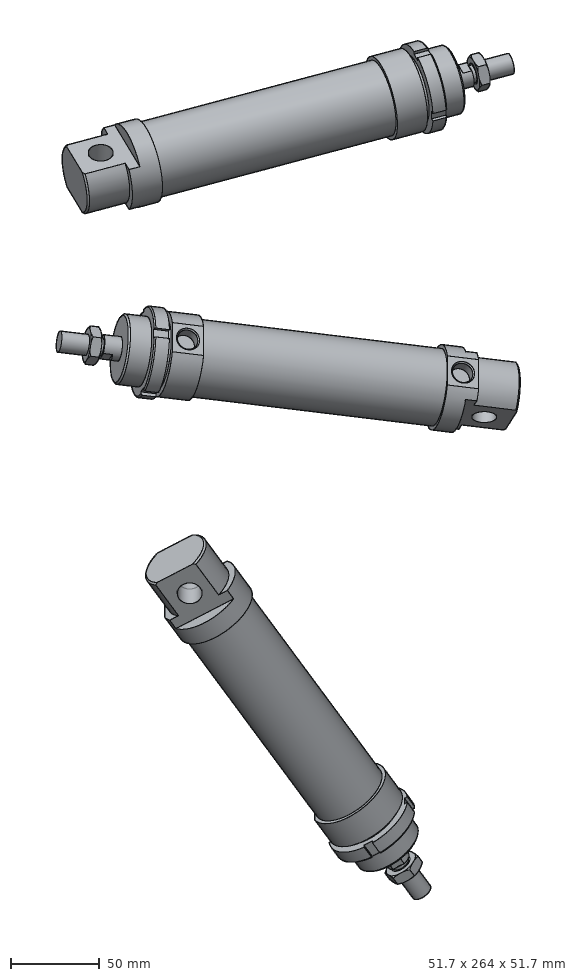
import cadquery as cq
import math

TOTAL_LENGTH = 264.0

BARREL_DIAMETER = 44.0
CAP_DIAMETER = 48.5
CAP_LENGTH = 18.2
REAR_CAP_START = 25.3
FRONT_CAP_END = 204.0
SPIGOT_DIAMETER = 40.0
SPIGOT_END = 229.0
END_CHAMFER = 1.0
LUG_THICKNESS = 30.0
LUG_FLATS_LENGTH = 32.0
PIVOT_HOLE_DIAMETER = 14.0
PIVOT_HOLE_Y = 15.8

PORT_FLAT_WIDTH = 18.2
PORT_DIAMETER = 12.0
PORT_CHAMFER = 0.8
PORT_DEPTH = 8.0

ROD_DIAMETER = 14.0
ROD_DEPTH_IN_HOUSING = 26.5
SHOULDER_Y = 239.2
THREAD_DIAMETER = 12.1
NECK_DIAMETER = 10.3
WRENCH_FLATS_WIDTH = 12.0
WRENCH_FLATS_LENGTH = 5.3
WRENCH_FLATS_RUNOUT = 0.5

ROD_NUT_ACROSS_FLATS = 19.0
ROD_NUT_REAR = 241.5
ROD_NUT_THICKNESS = 6.3
ROD_NUT_CHAMFER_WIDTH = 1.3
ROD_NUT_CHAMFER_ANGLE = 30.0

RING_NUT_DIAMETER = 52.0
RING_NUT_REAR = 206.7
RING_NUT_THICKNESS = 8.7
RING_NUT_CHAMFER = 0.8
RING_NUT_SLOTS = 4
SLOT_WIDTH = 5.5
SLOT_DEPTH = 2.0


def cylinder(diameter, start, end):
    """A solid cylinder on the Y axis from Y = start to Y = end."""
    return cq.Workplane("XZ", origin=(0, start, 0)).circle(diameter / 2).extrude(start - end)


def block(x_range, y_range, z_range):
    """An axis-aligned box given by its limits."""
    limits = (x_range, y_range, z_range)
    sizes = [high - low for low, high in limits]
    corner = tuple(low for low, high in limits)
    return cq.Workplane("XY", origin=corner).box(*sizes, centered=False)


def cap_with_port(start):
    """An end cap flattened on its -X side, and the cutter for the blind port centred in that flat."""
    radius = CAP_DIAMETER / 2
    flat_x = -math.sqrt(radius**2 - (PORT_FLAT_WIDTH / 2) ** 2)
    end = start + CAP_LENGTH
    cap = cylinder(CAP_DIAMETER, start, end)
    cap = cap.cut(block((-CAP_DIAMETER, flat_x), (start, end), (-radius, radius)))
    port_plane = cq.Workplane("YZ", origin=(flat_x, start + CAP_LENGTH / 2, 0))
    port = port_plane.circle(PORT_DIAMETER / 2).extrude(PORT_DEPTH)
    mouth_radius = PORT_DIAMETER / 2 + PORT_CHAMFER
    countersink = port_plane.circle(mouth_radius).extrude(PORT_CHAMFER, taper=45)
    return cap, port.union(countersink)


def make_housing():
    """Barrel, both caps, threaded spigot and rear pivot lug in one solid."""
    barrel = cylinder(BARREL_DIAMETER, REAR_CAP_START, FRONT_CAP_END)
    rear_cap, rear_port = cap_with_port(REAR_CAP_START)
    front_cap, front_port = cap_with_port(FRONT_CAP_END - CAP_LENGTH)
    core = cylinder(SPIGOT_DIAMETER, 0, SPIGOT_END).faces("<Y or >Y").edges().chamfer(END_CHAMFER)
    housing = barrel.union(rear_cap).union(front_cap).union(core)

    half_width = CAP_DIAMETER / 2
    half_lug = LUG_THICKNESS / 2
    for z_range in ((half_lug, half_width), (-half_width, -half_lug)):
        housing = housing.cut(block((-half_width, half_width), (0, LUG_FLATS_LENGTH), z_range))

    pivot_hole = (
        cq.Workplane("XY", origin=(0, PIVOT_HOLE_Y, 0))
        .circle(PIVOT_HOLE_DIAMETER / 2)
        .extrude(half_width, both=True)
    )
    rod_bore = cylinder(ROD_DIAMETER, SPIGOT_END - ROD_DEPTH_IN_HOUSING, SPIGOT_END)
    return housing.cut(pivot_hole).cut(rear_port).cut(front_port).cut(rod_bore)


def make_rod():
    """Piston rod with wrench flats, a relief neck and the thread for the rod nut."""
    shank = cylinder(ROD_DIAMETER, SPIGOT_END - ROD_DEPTH_IN_HOUSING, SHOULDER_Y)
    radius = ROD_DIAMETER / 2
    half_flats = WRENCH_FLATS_WIDTH / 2
    flats_end = SHOULDER_Y - WRENCH_FLATS_LENGTH
    runout_end = flats_end - WRENCH_FLATS_RUNOUT
    flat_cutter = (
        cq.Workplane("YZ")
        .moveTo(SHOULDER_Y, half_flats)
        .lineTo(SHOULDER_Y, radius)
        .lineTo(runout_end, radius)
        .lineTo(flats_end, half_flats)
        .close()
        .extrude(radius, both=True)
    )
    shank = shank.cut(flat_cutter).cut(flat_cutter.mirror("XY"))
    neck = cylinder(NECK_DIAMETER, SHOULDER_Y, ROD_NUT_REAR)
    thread = cylinder(THREAD_DIAMETER, ROD_NUT_REAR, TOTAL_LENGTH)
    return shank.union(neck).union(thread)


def make_rod_nut():
    """Hexagon nut with flats on top and bottom and its corners chamfered at both ends."""
    front = ROD_NUT_REAR + ROD_NUT_THICKNESS
    across_corners = ROD_NUT_ACROSS_FLATS / math.cos(math.radians(30))
    hexagon = (
        cq.Workplane("XZ", origin=(0, ROD_NUT_REAR, 0))
        .polygon(6, across_corners)
        .extrude(-ROD_NUT_THICKNESS)
    )
    chamfer_length = ROD_NUT_CHAMFER_WIDTH * math.tan(math.radians(ROD_NUT_CHAMFER_ANGLE))
    corner_radius = across_corners / 2
    face_radius = corner_radius - ROD_NUT_CHAMFER_WIDTH
    chamfered_round = (
        cq.Workplane("XY")
        .moveTo(0, ROD_NUT_REAR)
        .lineTo(face_radius, ROD_NUT_REAR)
        .lineTo(corner_radius, ROD_NUT_REAR + chamfer_length)
        .lineTo(corner_radius, front - chamfer_length)
        .lineTo(face_radius, front)
        .lineTo(0, front)
        .close()
        .revolve(360, (0, 0, 0), (0, 1, 0))
    )
    return hexagon.intersect(chamfered_round).cut(cylinder(THREAD_DIAMETER, ROD_NUT_REAR, front))


def make_ring_nut():
    """Round nut with wrench slots across its rim and a chamfer on its front edge."""
    front = RING_NUT_REAR + RING_NUT_THICKNESS
    radius = RING_NUT_DIAMETER / 2
    nut = cylinder(RING_NUT_DIAMETER, RING_NUT_REAR, front).faces(">Y").edges().chamfer(RING_NUT_CHAMFER)
    nut = nut.cut(cylinder(SPIGOT_DIAMETER, RING_NUT_REAR, front))
    slot = block(
        (-SLOT_WIDTH / 2, SLOT_WIDTH / 2), (RING_NUT_REAR, front), (radius - SLOT_DEPTH, radius)
    )
    for index in range(RING_NUT_SLOTS):
        nut = nut.cut(slot.rotate((0, 0, 0), (0, 1, 0), index * 360 / RING_NUT_SLOTS))
    return nut


housing = make_housing()
rod = make_rod()
rod_nut = make_rod_nut()
ring_nut = make_ring_nut()

result = cq.Compound.makeCompound([housing.val(), rod.val(), rod_nut.val(), ring_nut.val()])